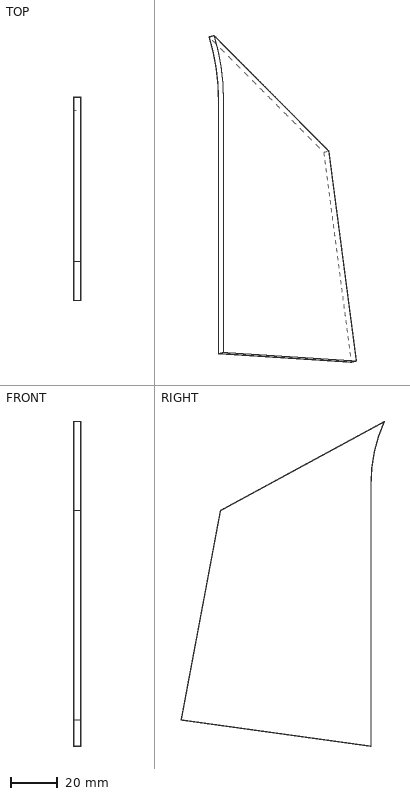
import cadquery as cq

thickness = 3.0
height = 139.2
depth = 87.2
tip_overhang = 5.7
flare_start_z = 112.8
shoulder_y = -64.6
shoulder_z = 101.1
nose_y = tip_overhang - depth
nose_z = 11.3

outline = (
    cq.Workplane("YZ")
    .moveTo(0, 0)
    .lineTo(0, flare_start_z)
    .tangentArcPoint((tip_overhang, height), relative=False)
    .lineTo(shoulder_y, shoulder_z)
    .lineTo(nose_y, nose_z)
    .close()
)

result = outline.extrude(thickness / 2, both=True)